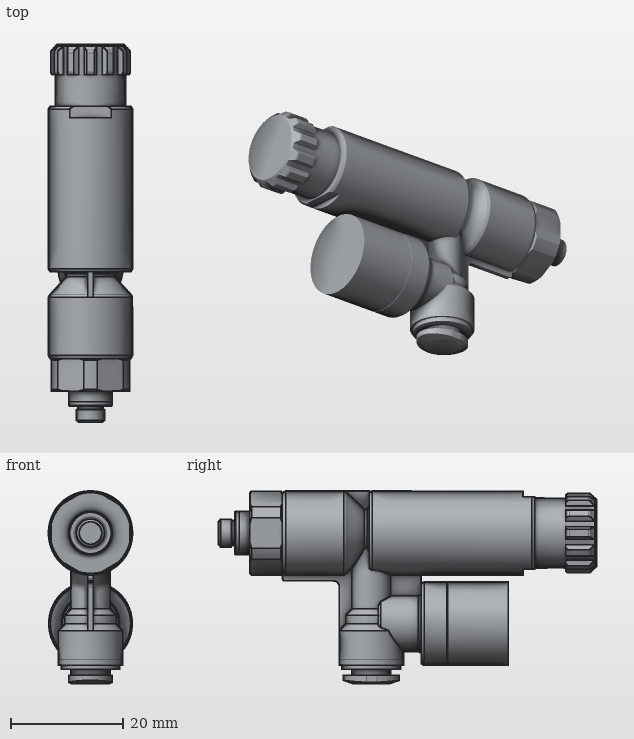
import cadquery as cq
import math

stub_groove_start = 2.4
stub_shoulder = 2.9
shoulder_step = 3.7
hex_front = 5.6
hex_back = 11.4
sleeve_front = 12.0
sleeve_back = 22.85
neck_front = 26.0
body_front = 26.9
body_back = 56.35
knob_end = 67.4

tip_radius = 2.0
stub_radius = 5.0 / 2
stub_groove_radius = 4.5 / 2
shoulder_radius = 7.8 / 2
shoulder_rim_radius = 7.7 / 2
shoulder_chamfer = 0.15
tip_chamfer_length = 0.4
groove_flank = 0.15
body_radius = 15.0 / 2
neck_radius = 4.3
neck_boss_radius = 5.0
knob_radius = 12.5 / 2
knob_root_radius = 12.6 / 2
edge_break = 0.3
edge_length = 0.5

hex_across_flats = 14.0
hex_turn = 30

flat_half_height = 6.5
flat_front = 54.3

tooth_count = 12
tooth_front = 61.95
tooth_tip_radius = 7.1
tooth_root_radius = 6.0
tooth_base_width = 2.3
tooth_tip_width = 1.3
tooth_back_slope = 0.3
tooth_end_chamfer = 1.2
tooth_end_rounding = 0.7

branch_y = 27.25
column_radius = 7.0 / 2
collar_radius = 9.2 / 2
fitting_radius = 11.5 / 2
fitting_top_radius = 11.46 / 2
fitting_lip_radius = 10.5 / 2
column_bottom = -13.5
collar_top = -14.65
collar_bottom = -16.2
fitting_top = -17.4
fitting_draft_end = -22.5
fitting_shoulder = -23.55
fitting_bottom = -24.3
release_top = -25.35
branch_bottom = -26.9

release_half_length = 5.0
release_half_width = 3.97
release_flat_width = 7.8
release_bottom_radius = 3.1
release_chamfer_height = 0.65

port_z = -16.15
port_back = 51.7
port_front = 36.15
pipe_front = 28.5
port_radius = 14.9 / 2
pipe_radius = 10.0 / 2
pipe_root_radius = 10.5 / 2
pipe_chamfer = 0.4
port_groove_y = 40.8
port_groove_width = 0.15
port_groove_depth = 0.1

web_thickness = 1.0
web_bottom = -8.55
web_end_radius = 0.5
web_inner_radius = 1.0


def revolve_about_y(profile, axis_z=0.0):
    """Revolve (radius, y) points about a line parallel to Y at height axis_z."""
    closed = [(0, profile[0][1])] + profile + [(0, profile[-1][1])]
    solid = cq.Workplane("XY").polyline(closed).close().revolve(360, (0, 0), (0, 1))
    return solid.translate((0, 0, axis_z))


def revolve_branch(profile):
    """Revolve (radius, z) points about the branch axis."""
    closed = [(0, profile[0][1])] + profile + [(0, profile[-1][1])]
    solid = cq.Workplane("XZ").polyline(closed).close().revolve(360, (0, 0), (0, 1))
    return solid.translate((0, branch_y, 0))


def make_front_end():
    """Stub, shoulder and round blank of the hexagon."""
    blank_radius = body_radius - edge_break
    return revolve_about_y([
        (tip_radius, 0),
        (stub_radius, tip_chamfer_length),
        (stub_radius, stub_groove_start - groove_flank),
        (stub_groove_radius, stub_groove_start),
        (stub_groove_radius, stub_shoulder),
        (shoulder_rim_radius - shoulder_chamfer, stub_shoulder),
        (shoulder_rim_radius, stub_shoulder + shoulder_chamfer),
        (shoulder_rim_radius, shoulder_step),
        (shoulder_radius, shoulder_step),
        (shoulder_radius, hex_front),
        (blank_radius, hex_front),
        (body_radius, hex_front + edge_break),
        (body_radius, hex_back - edge_break),
        (blank_radius, hex_back),
    ])


def make_hexagon():
    corner_diameter = hex_across_flats / math.cos(math.pi / 6)
    prism = cq.Workplane("XZ").polygon(6, corner_diameter).extrude(-hex_back)
    return prism.rotate((0, 0, 0), (0, 1, 0), hex_turn)


def make_barrel():
    """Sleeve, necked cone, body and knob core."""
    barrel = revolve_about_y([
        (body_radius - edge_break, hex_back),
        (body_radius, sleeve_front),
        (body_radius, sleeve_back - edge_length),
        (body_radius - edge_break, sleeve_back),
        (neck_radius, neck_front),
        (neck_radius, neck_front + edge_length),
        (neck_boss_radius, body_front),
        (body_radius - edge_break, body_front),
        (body_radius, body_front + edge_length),
        (body_radius, body_back - edge_length),
        (body_radius - edge_break, body_back),
        (knob_root_radius, body_back),
        (knob_radius, tooth_front),
        (knob_radius, knob_end - edge_break),
        (knob_radius - edge_break, knob_end),
    ])
    flat_length = body_back - flat_front
    cutter_height = body_radius
    for side in (1, -1):
        cutter = cq.Workplane("XY").box(2 * body_radius, flat_length, cutter_height)
        z = side * (flat_half_height + cutter_height / 2)
        barrel = barrel.cut(cutter.translate((0, flat_front + flat_length / 2, z)))
    return barrel


def make_tooth():
    """Grip tooth on the +Z side: sloped flanks, rounded tip ends, chamfered outer end."""
    section = [
        (-tooth_base_width / 2, tooth_root_radius),
        (tooth_base_width / 2, tooth_root_radius),
        (tooth_base_width / 2, knob_radius),
        (tooth_tip_width / 2, tooth_tip_radius),
        (-tooth_tip_width / 2, tooth_tip_radius),
        (-tooth_base_width / 2, knob_radius),
    ]
    bar = cq.Workplane("XZ").polyline(section).close().extrude(-knob_end)
    side_outline = [
        (tooth_front, 0),
        (tooth_front, tooth_tip_radius - tooth_back_slope),
        (tooth_front + tooth_back_slope, tooth_tip_radius),
        (knob_end - tooth_end_chamfer, tooth_tip_radius),
        (knob_end, tooth_tip_radius - tooth_end_chamfer),
        (knob_end, 0),
    ]
    side = cq.Workplane("YZ").polyline(side_outline).close()
    tooth = bar.intersect(side.extrude(tooth_base_width, both=True))
    return tooth.faces(">Z").edges("|X").fillet(tooth_end_rounding)


def make_branch():
    branch = revolve_branch([
        (column_radius, 0),
        (column_radius, column_bottom),
        (collar_radius, collar_top),
        (collar_radius, collar_bottom),
        (fitting_top_radius, fitting_top),
        (fitting_radius, fitting_draft_end),
        (fitting_radius, fitting_shoulder),
        (fitting_lip_radius, fitting_shoulder),
        (fitting_lip_radius, fitting_bottom),
        (column_radius, fitting_bottom),
        (column_radius, release_top),
    ])
    return branch.union(make_release_ring())


def make_release_ring():
    """Oval ring with a conical underside and two flats."""
    ring = revolve_branch([
        (release_half_length, release_top),
        (release_half_length, branch_bottom + release_chamfer_height),
        (release_bottom_radius, branch_bottom),
    ])
    height = release_top - branch_bottom
    oval = (
        cq.Workplane("XY", origin=(0, branch_y, branch_bottom))
        .ellipse(release_half_width, release_half_length)
        .extrude(height)
    )
    flats = cq.Workplane("XY").box(release_flat_width, 2 * release_half_length, height)
    flats = flats.translate((0, branch_y, branch_bottom + height / 2))
    return ring.intersect(oval).intersect(flats)


def make_side_port():
    groove_start = port_groove_y - port_groove_width / 2
    groove_end = port_groove_y + port_groove_width / 2
    groove_radius = port_radius - port_groove_depth
    return revolve_about_y([
        (pipe_radius - pipe_chamfer, pipe_front),
        (pipe_radius, pipe_front + pipe_chamfer),
        (pipe_radius, port_front - edge_length),
        (pipe_root_radius, port_front),
        (port_radius - edge_break, port_front),
        (port_radius, port_front + edge_length),
        (port_radius, groove_start),
        (groove_radius, groove_start),
        (groove_radius, groove_end),
        (port_radius, groove_end),
        (port_radius, port_back),
    ], port_z)


def make_web():
    """Thin plate tying sleeve, body, column, fitting and side port together."""
    web_front = branch_y - fitting_top_radius
    outline = (
        cq.Workplane("YZ")
        .moveTo(hex_back, 0)
        .lineTo(hex_back, web_bottom + web_end_radius)
        .radiusArc((hex_back + web_end_radius, web_bottom), -web_end_radius)
        .lineTo(web_front - web_inner_radius, web_bottom)
        .radiusArc((web_front, web_bottom - web_inner_radius), web_inner_radius)
        .lineTo(web_front, fitting_top)
        .lineTo(branch_y, fitting_top)
        .lineTo(branch_y, port_z)
        .lineTo(port_front, port_z)
        .lineTo(port_front, 0)
        .lineTo(body_front, 0)
        .lineTo(body_front, body_radius)
        .lineTo(sleeve_back - edge_length, body_radius)
        .lineTo(sleeve_back - edge_length, 0)
        .close()
    )
    return outline.extrude(web_thickness / 2, both=True)


result = make_front_end().intersect(make_hexagon())
result = result.union(make_barrel())
for index in range(tooth_count):
    angle = index * 360 / tooth_count
    result = result.union(make_tooth().rotate((0, 0, 0), (0, 1, 0), angle))
result = result.union(make_branch())
result = result.union(make_side_port())
result = result.union(make_web())